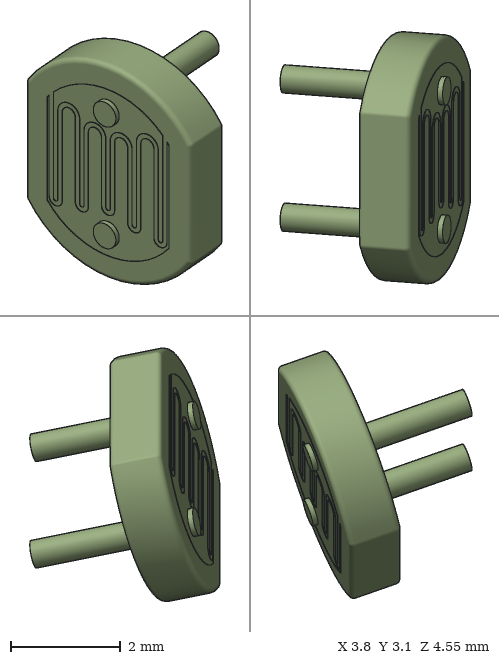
import cadquery as cq

body_height = 4.55
body_width = 3.8
body_depth = 0.99
edge_radius = 0.1
corner_radius = 0.1

lead_radius = 0.26
lead_offset = 1.295
lead_front = 0.11
lead_back = 1.997

electrode_radius = 1.775
electrode_width = 2.795
electrode_thickness = 0.01

channel_width = 0.1
turn_pitch = 0.3
valley_radius = 0.1
crest_radius = turn_pitch - valley_radius
outer_valley_z = -0.995
inner_valley_z = -0.9
middle_valley_z = -0.755
outer_crest_z = 0.9
inner_crest_z = 0.7

left_turns = [outer_valley_z, outer_crest_z, inner_valley_z, inner_crest_z]
turn_heights = left_turns + [middle_valley_z] + left_turns[::-1]


def flatted_disc(radius, width, depth):
    """Disc cut to a width by two vertical flats, grown from Y = 0 along -Y."""
    disc = cq.Workplane("XZ").circle(radius).extrude(depth)
    limits = cq.Workplane("XZ").rect(width, 2 * radius).extrude(depth)
    return disc.intersect(limits)


def channel_side(side):
    """Turns along one side of the channel (-1 left start, +1 right start), as start, top, end points."""
    points = []
    middle = len(turn_heights) // 2
    for index, center_z in enumerate(turn_heights):
        center_x = (index - middle) * turn_pitch
        if index % 2 == 0:
            radius = valley_radius - side * channel_width / 2
            tip_z = center_z - radius
        else:
            radius = crest_radius + side * channel_width / 2
            tip_z = center_z + radius
        start = (center_x - radius, center_z)
        end = (center_x + radius, center_z)
        points.append((start, (center_x, tip_z), end))
    return points


def make_channel():
    """Winding strip whose two ends run up past the electrode outline."""
    outer = channel_side(-1)
    inner = channel_side(1)
    outline = cq.Workplane("XZ").moveTo(outer[0][0][0], electrode_radius)
    for start, tip, end in outer:
        outline = outline.lineTo(*start).threePointArc(tip, end)
    outline = outline.lineTo(outer[-1][2][0], electrode_radius)
    outline = outline.lineTo(inner[-1][2][0], electrode_radius)
    for start, tip, end in reversed(inner):
        outline = outline.lineTo(*end).threePointArc(tip, start)
    outline = outline.lineTo(inner[0][0][0], electrode_radius)
    return outline.close().extrude(electrode_thickness)


def make_body():
    """Flatted disc with rounded corners and rounded front and back rims."""
    body = flatted_disc(body_height / 2, body_width, body_depth)
    body = body.translate((0, body_depth, 0))
    corner_reach = body_width / 2 - corner_radius
    for side in (-1, 1):
        picker = cq.selectors.BoxSelector(
            (side * corner_reach, 0, -body_height),
            (side * body_width, body_depth, body_height),
        )
        body = body.edges("|Y").edges(picker).fillet(corner_radius)
    return body.faces("<Y or >Y").edges().fillet(edge_radius)


def make_leads():
    lead_length = lead_front + body_depth + lead_back
    return (
        cq.Workplane("XZ", origin=(0, -lead_front, 0))
        .pushPoints([(0, lead_offset), (0, -lead_offset)])
        .circle(lead_radius)
        .extrude(-lead_length)
    )


electrodes = flatted_disc(electrode_radius, electrode_width, electrode_thickness).cut(make_channel())

result = make_body().union(electrodes).union(make_leads())